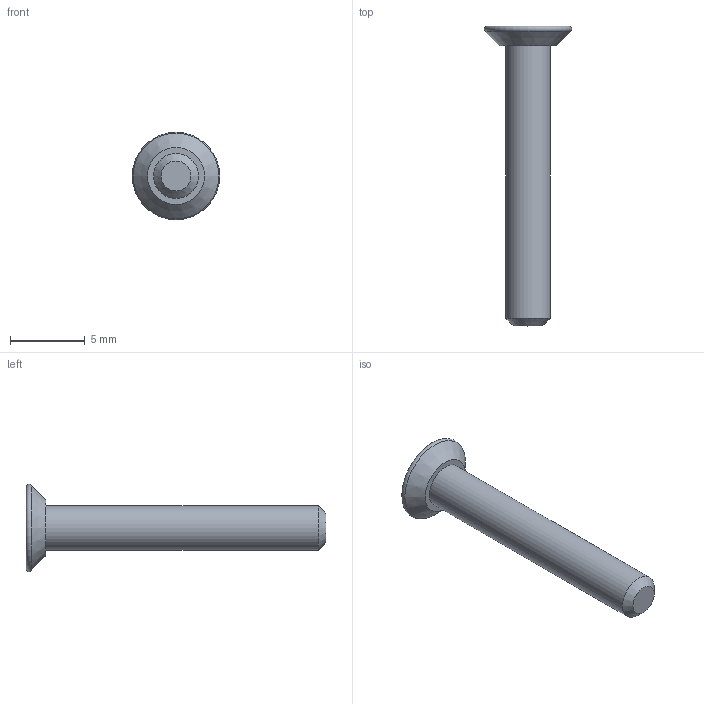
import cadquery as cq
import math


total_length = 20.0
shank_diameter = 3.0
tip_chamfer = 0.5
head_height = 1.3
head_base_diameter = 3.8
countersink_angle = 90.0
head_rim_radius = 0.2

shank_radius = shank_diameter / 2
head_base_radius = head_base_diameter / 2
cone_spread = head_height * math.tan(math.radians(countersink_angle / 2))
sharp_rim_radius = head_base_radius + cone_spread

tip_y = -total_length / 2
head_face_y = total_length / 2
head_base_y = head_face_y - head_height


def make_shank():
    """Cylindrical shank with a chamfered tip, ending at the head base."""
    shank_length = head_base_y - tip_y
    shank = (
        cq.Workplane("XZ", origin=(0, head_base_y, 0))
        .circle(shank_radius)
        .extrude(shank_length)
    )
    return shank.faces("<Y").edges().chamfer(tip_chamfer)


def make_head():
    """Conical head revolved about Y, with a rounded rim around its flat face."""
    head = (
        cq.Workplane("XY")
        .moveTo(0, head_base_y)
        .lineTo(head_base_radius, head_base_y)
        .lineTo(sharp_rim_radius, head_face_y)
        .lineTo(0, head_face_y)
        .close()
        .revolve(360, (0, 0, 0), (0, 1, 0))
    )
    return head.faces(">Y").edges().fillet(head_rim_radius)


result = make_shank().union(make_head())